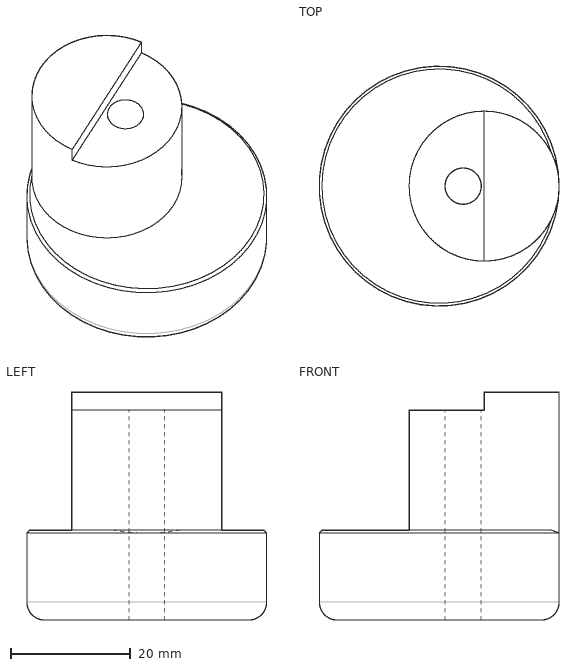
import cadquery as cq

base_diameter = 40.0
base_height = 15.0
bottom_fillet = 3.0
top_chamfer = 0.5

post_diameter = 25.0
post_x = (base_diameter - post_diameter) / 2
total_height = 38.0
step_depth = 3.0

hole_diameter = 6.0
hole_x = 4.0


def make_base():
    """Disc with a rounded bottom rim and a chamfered top rim."""
    disc = cq.Workplane("XY").circle(base_diameter / 2).extrude(base_height)
    disc = disc.faces("<Z").edges().fillet(bottom_fillet)
    return disc.faces(">Z").edges().chamfer(top_chamfer)


def make_post():
    """Post with its -X half cut lower; it starts at the foot of the base chamfer."""
    post_bottom = base_height - top_chamfer
    post = (
        cq.Workplane("XY", origin=(post_x, 0, post_bottom))
        .circle(post_diameter / 2)
        .extrude(total_height - post_bottom)
    )
    step = (
        cq.Workplane("XY", origin=(post_x, 0, total_height - step_depth))
        .rect(post_diameter, post_diameter)
        .extrude(step_depth)
        .translate((-post_diameter / 2, 0, 0))
    )
    return post.cut(step)


def make_hole():
    """Cylinder that removes the through hole."""
    return cq.Workplane("XY", origin=(hole_x, 0, 0)).circle(hole_diameter / 2).extrude(total_height)


result = make_base().union(make_post()).cut(make_hole())